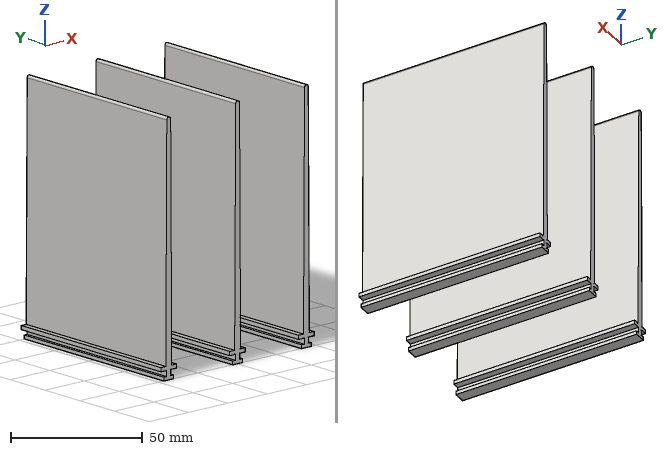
import cadquery as cq

total_width = 78.0
depth = 80.5
total_height = 104.0

divider_count = 3

foot_width = 5.0
foot_height = 1.6
neck_width = 2.2
neck_height = 2.4
flange_width = 8.0
flange_height = 1.7

panel_base_width = 3.0
panel_top_width = 2.0
top_radius = panel_top_width / 2

divider_pitch = (total_width - flange_width) / (divider_count - 1)

neck_bottom = foot_height
flange_bottom = neck_bottom + neck_height
flange_top = flange_bottom + flange_height
round_start = total_height - top_radius


def make_divider(x_center):
    """Extrude the symmetric divider profile along Y, centred on Y = 0."""
    right_side = [
        (foot_width / 2, 0),
        (foot_width / 2, neck_bottom),
        (neck_width / 2, neck_bottom),
        (neck_width / 2, flange_bottom),
        (flange_width / 2, flange_bottom),
        (flange_width / 2, flange_top),
        (panel_base_width / 2, flange_top),
        (panel_top_width / 2, round_start),
    ]
    left_side = [(-x, z) for x, z in reversed(right_side)]
    return (
        cq.Workplane("XZ")
        .polyline(right_side)
        .threePointArc((0, total_height), left_side[0])
        .polyline(left_side, includeCurrent=False)
        .close()
        .extrude(depth / 2, both=True)
        .translate((x_center, 0, 0))
    )


dividers = []
for index in range(divider_count):
    x_center = (index - (divider_count - 1) / 2) * divider_pitch
    dividers.append(make_divider(x_center))

result = cq.Compound.makeCompound([divider.val() for divider in dividers])